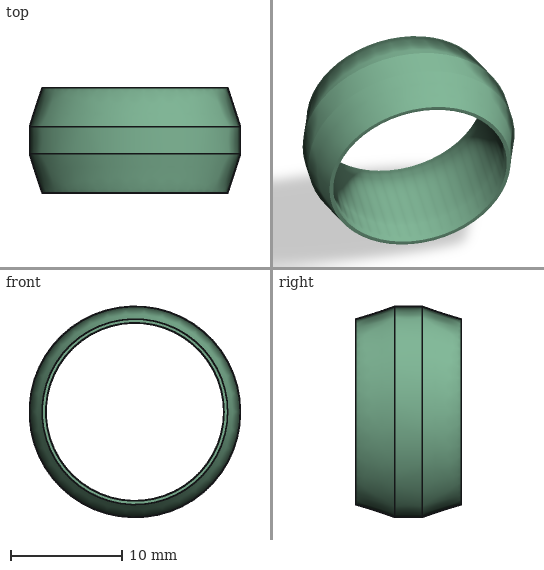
import cadquery as cq

outer_diameter = 19.0
end_diameter = 16.7
bore_diameter = 16.0
width = 9.5
band_width = 2.43

outer_radius = outer_diameter / 2
end_radius = end_diameter / 2
bore_radius = bore_diameter / 2
half_width = width / 2
half_band = band_width / 2

wall_section = (
    cq.Workplane("XY")
    .moveTo(bore_radius, -half_width)
    .lineTo(end_radius, -half_width)
    .lineTo(outer_radius, -half_band)
    .lineTo(outer_radius, half_band)
    .lineTo(end_radius, half_width)
    .lineTo(bore_radius, half_width)
    .close()
)

result = wall_section.revolve(360, (0, 0, 0), (0, 1, 0))